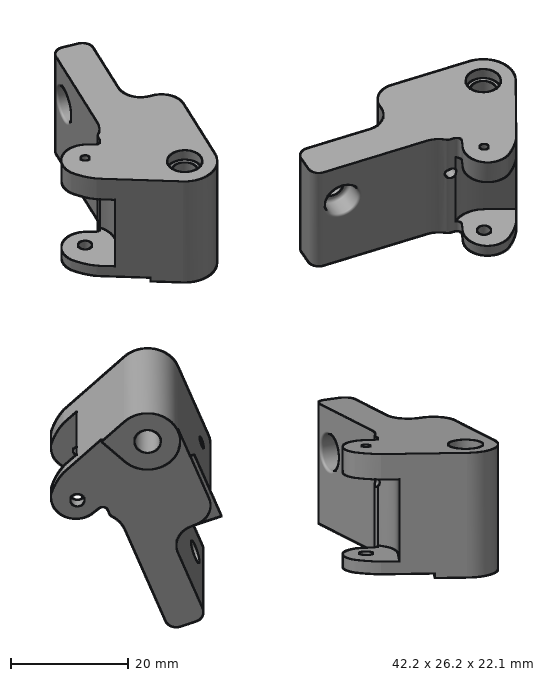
import cadquery as cq
import math

length = 42.15
body_height = 21.3
boss_height = 0.8
back_y = 25.4

arm_front_y = 9.8
arm_back_y = 16.6
arm_corner_radius = 2.0
shoulder_x = 17.85
shoulder_radius = 4.05

pivot_radius = 5.55
pivot_x = length - pivot_radius
pivot_y = back_y - pivot_radius
flank_angle = math.radians(24.4)
flank_length = 14.75

lobe_x, lobe_radius = 30.23, 4.25
lobe_y = lobe_radius
lobe_blend_angle = math.radians(-58)
lobe_blend_middle = (34.3, 2.35)
neck_angle = math.radians(17.6)
notch_x, notch_y = 25.95, 8.45
notch_radius = 0.9
notch_flat = 0.85
ease_radius = 1.0
underside_radius = 5.4
underside_angle = math.radians(36.9)

pin_x, pin_y = 29.6, 4.3
upper_pin_diameter = 1.5
lower_pin_diameter = 2.4
slot_bottom, slot_top = 2.28, 16.8
slot_radius = 5.4
slot_reach = 16.85

pivot_bore_diameter = 4.5
pivot_counterbore_diameter = 6.0
pivot_counterbore_depth = 2.05

cross_hole_z = 13.5
arm_hole_x = 5.55
arm_hole_diameter = 4.0
arm_counterbore_diameter = 6.35
arm_counterbore_depth = 4.0
mouth_round = 0.45
floor_round = 0.65
small_hole_x = 25.35
small_hole_diameter = 2.05

tab_back_y = 26.15
tab_end_x = 30.85
tab_thickness = 0.13


def polar(x, y, radius, angle):
    """Point at the given radius and angle from a centre."""
    return (x + radius * math.cos(angle), y + radius * math.sin(angle))


flank_start = polar(pivot_x, pivot_y, pivot_radius, -flank_angle)
flank_direction = -math.pi / 2 - flank_angle
flank_end = polar(*flank_start, flank_length, flank_direction)


def make_body():
    lobe_start = polar(lobe_x, lobe_y, lobe_radius, lobe_blend_angle)
    lobe_bottom = polar(lobe_x, lobe_y, lobe_radius, -0.5 * math.pi)
    lobe_side = polar(lobe_x, lobe_y, lobe_radius, math.pi - neck_angle / 2)
    neck_start = polar(lobe_x, lobe_y, lobe_radius, math.pi - neck_angle)

    notch_center_y = notch_y - notch_radius
    neck_end = polar(notch_x, notch_center_y, notch_radius, -neck_angle)
    notch_middle = polar(notch_x, notch_center_y, notch_radius, math.pi / 4)
    ease_start_x = notch_x - notch_flat
    ease_center_y = notch_y + ease_radius
    ease_direction = -math.pi / 2 - underside_angle
    ease_middle = polar(ease_start_x, ease_center_y, ease_radius, -math.pi / 2 - underside_angle / 2)
    ease_end = polar(ease_start_x, ease_center_y, ease_radius, ease_direction)

    underside_x = ease_end[0] - underside_radius * math.sin(underside_angle)
    underside_center_y = arm_front_y - underside_radius
    underside_middle = polar(underside_x, underside_center_y, underside_radius,
                             math.pi / 2 - underside_angle / 2)

    outline = (
        cq.Workplane("XY")
        .moveTo(0, arm_back_y)
        .lineTo(shoulder_x, arm_back_y)
        .lineTo(shoulder_x, back_y)
        .lineTo(pivot_x, back_y)
        .threePointArc(polar(pivot_x, pivot_y, pivot_radius, math.pi / 6), flank_start)
        .lineTo(*flank_end)
        .threePointArc(lobe_blend_middle, lobe_start)
        .threePointArc(lobe_bottom, (lobe_x - lobe_radius, lobe_y))
        .threePointArc(lobe_side, neck_start)
        .lineTo(*neck_end)
        .threePointArc(notch_middle, (notch_x, notch_y))
        .lineTo(ease_start_x, notch_y)
        .threePointArc(ease_middle, ease_end)
        .threePointArc(underside_middle, (underside_x, arm_front_y))
        .lineTo(0, arm_front_y)
        .close()
    )
    body = outline.extrude(body_height)

    def upright_edge(x, y):
        return cq.selectors.NearestToPointSelector((x, y, body_height / 2))

    for y in (arm_front_y, arm_back_y):
        body = body.edges(upright_edge(0, y)).fillet(arm_corner_radius)
    for y in (arm_back_y, back_y):
        body = body.edges(upright_edge(shoulder_x, y)).fillet(shoulder_radius)
    return body


def make_pivot_boss():
    """Raised pad under the pivot, its lower edge square to the flank."""
    edge_start = polar(pivot_x, pivot_y, pivot_radius, flank_direction)
    edge_end = polar(*flank_start, pivot_radius, flank_direction)
    return (
        cq.Workplane("XY")
        .moveTo(*flank_start)
        .threePointArc(polar(pivot_x, pivot_y, pivot_radius, 0.75 * math.pi), edge_start)
        .lineTo(*edge_end)
        .close()
        .extrude(-boss_height)
    )


def make_tab():
    return cq.Workplane("XY").box(
        tab_end_x - shoulder_x, tab_back_y - pivot_y, tab_thickness, centered=False
    ).translate((shoulder_x, pivot_y, 0))


def make_hinge_slot():
    """Round clearance about the pin, running out straight through the flank."""
    slot_height = slot_top - slot_bottom
    plane = cq.Workplane("XY", origin=(pin_x, pin_y, slot_bottom))
    round_part = plane.circle(slot_radius).extrude(slot_height)
    straight_part = (
        plane.transformed(rotate=(0, 0, -math.degrees(flank_angle)))
        .rect(slot_reach, 2 * slot_radius)
        .extrude(slot_height)
        .translate((slot_reach / 2 * math.cos(flank_angle), -slot_reach / 2 * math.sin(flank_angle), 0))
    )
    return round_part.union(straight_part)


def make_upright_hole(x, y, diameter, bottom, top):
    return cq.Workplane("XY", origin=(x, y, bottom)).circle(diameter / 2).extrude(top - bottom)


def make_cross_hole(x, diameter):
    return (
        cq.Workplane("XZ", origin=(x, 0, cross_hole_z))
        .circle(diameter / 2)
        .extrude(-tab_back_y)
    )


def make_arm_counterbore():
    """Revolved recess with a rounded mouth and a rounded floor corner."""
    radius = arm_counterbore_diameter / 2
    mouth_mid = polar(radius + mouth_round, mouth_round, mouth_round, -0.75 * math.pi)
    floor_mid = polar(radius - floor_round, arm_counterbore_depth - floor_round, floor_round, math.pi / 4)
    return (
        cq.Workplane("XY", origin=(arm_hole_x, arm_front_y, cross_hole_z))
        .lineTo(radius + mouth_round, 0)
        .threePointArc(mouth_mid, (radius, mouth_round))
        .lineTo(radius, arm_counterbore_depth - floor_round)
        .threePointArc(floor_mid, (radius - floor_round, arm_counterbore_depth))
        .lineTo(0, arm_counterbore_depth)
        .close()
        .revolve(360, (0, 0), (0, 1))
    )


ear_split_z = (slot_bottom + slot_top) / 2
counterbore_floor_z = body_height - pivot_counterbore_depth

result = (
    make_body()
    .union(make_pivot_boss())
    .union(make_tab())
    .cut(make_hinge_slot())
    .cut(make_upright_hole(pin_x, pin_y, lower_pin_diameter, 0, ear_split_z))
    .cut(make_upright_hole(pin_x, pin_y, upper_pin_diameter, ear_split_z, body_height))
    .cut(make_upright_hole(pivot_x, pivot_y, pivot_bore_diameter, -boss_height, body_height))
    .cut(make_upright_hole(pivot_x, pivot_y, pivot_counterbore_diameter, counterbore_floor_z, body_height))
    .cut(make_arm_counterbore())
    .cut(make_cross_hole(arm_hole_x, arm_hole_diameter))
    .cut(make_cross_hole(small_hole_x, small_hole_diameter))
)